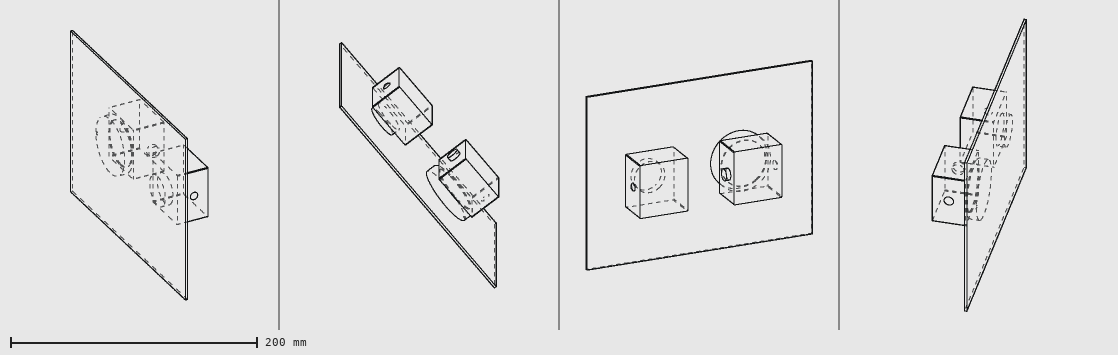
import cadquery as cq
import math

panel_width = 200.0
panel_height = 150.0
panel_thickness = 2.0

housing_width = 42.8
housing_height = 46.0
housing_depth = 28.0
housing_bevel = 0.5

total_depth = 40.0
left_x = -34.5
left_front = total_depth - housing_depth
flange_diameter = 50.0
flange_back = 11.0
flange_rounding = 2.0
notch_width = 2.0
notch_height = 0.5
notch_depth = 2.0
neck_diameter = 39.5
button_diameter = 8.0
button_height = 2.0
button_y = left_front + housing_depth / 2
knob_diameter = 10.0
knob_length = 3.8
knob_y = 29.0

right_x = 47.5
right_front = 9.0
stem_diameter = 27.0
small_button_diameter = 6.8
small_button_height = 1.8
small_button_y = 24.2


def disc_along_y(diameter, x, y_start, y_end):
    """Round disc with its axis along Y, centred at the given X."""
    plane = cq.Plane(origin=(x, y_start, 0), xDir=(1, 0, 0), normal=(0, 1, 0))
    return cq.Workplane(plane).circle(diameter / 2).extrude(y_end - y_start)


def housing(x, front):
    """Housing block whose front face is at Y = front."""
    block = cq.Workplane("XY").box(housing_width, housing_depth, housing_height)
    block = block.edges("|Y").chamfer(housing_bevel)
    return block.translate((x, front + housing_depth / 2, 0))


def dome(diameter, height, x_face, y, outward):
    """Spherical cap on a side face; outward is +1 or -1 along X."""
    radius = diameter / 2
    sphere_radius = (radius**2 + height**2) / (2 * height)
    centre_x = height - sphere_radius
    middle_angle = math.atan2(radius, -centre_x) / 2
    middle = (
        centre_x + sphere_radius * math.cos(middle_angle),
        sphere_radius * math.sin(middle_angle),
    )
    plane = cq.Plane(origin=(x_face, y, 0), xDir=(outward, 0, 0), normal=(0, 0, outward))
    profile = cq.Workplane(plane).lineTo(height, 0).threePointArc(middle, (0, radius)).close()
    return profile.revolve(360, (0, 0), (1, 0))


def panel():
    """Flat sheet that carries both units."""
    sheet = cq.Workplane("XY").box(panel_width, panel_thickness, panel_height)
    return sheet.translate((0, panel_thickness / 2, 0))


def flange_notch():
    """Small notch in the -X rim of the flange, against the panel."""
    rim_x = left_x - flange_diameter / 2
    notch = cq.Workplane("XY").box(notch_depth, notch_height, notch_width)
    return notch.translate((rim_x + notch_depth / 2, panel_thickness + notch_height / 2, 0))


def left_unit():
    """Flange, neck, housing, button and knob of the left unit."""
    flange = disc_along_y(flange_diameter, left_x, panel_thickness, flange_back)
    flange = flange.faces(">Y").edges().fillet(flange_rounding)
    flange = flange.cut(flange_notch())
    neck = disc_along_y(neck_diameter, left_x, flange_back, left_front)
    side = housing_width / 2
    button = dome(button_diameter, button_height, left_x - side, button_y, -1)
    knob = cq.Workplane("YZ", origin=(left_x + side, knob_y, 0))
    knob = knob.circle(knob_diameter / 2).extrude(knob_length)
    return flange.union(neck).union(housing(left_x, left_front)).union(button).union(knob)


def right_unit():
    """Stem, housing and button of the right unit."""
    stem = disc_along_y(stem_diameter, right_x, panel_thickness, right_front)
    side_x = right_x + housing_width / 2
    button = dome(small_button_diameter, small_button_height, side_x, small_button_y, 1)
    return stem.union(housing(right_x, right_front)).union(button)


result = panel().union(left_unit()).union(right_unit())